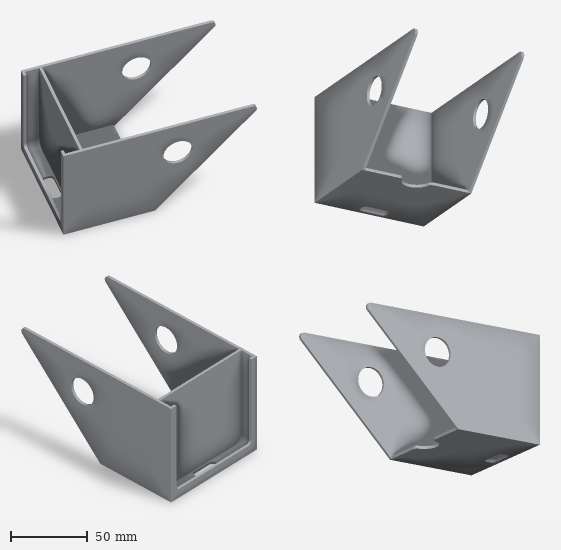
import cadquery as cq
import math

width = 81.6
length = 134.4
height = 75.0
wall = 2.0

tip_radius = 3.0
tip_angle = math.radians(45)
side_hole_diameter = 20.0
side_hole_y = 79.5
side_hole_drop = 25.0

divider_back = 14.0
divider_front = divider_back - wall
lip_overhang = 3.1
lip_opening_bottom = 7.0
pocket_corner_radius = 5.9

slot_length = 20.0
slot_width = 8.0
slot_corner_radius = 3.0
notch_radius = 10.01
notch_edge_radius = 3.0

inner_width = width - 2 * wall
tip_corner_y = length - tip_radius + tip_radius / math.tan(tip_angle / 2)
floor_length = tip_corner_y - height / math.tan(tip_angle)
slot_y = (wall + divider_front) / 2


def block(size_x, y_start, y_end, z_start, z_end):
    """Box centred on X between the given Y and Z limits."""
    return cq.Workplane("XY").box(
        size_x, y_end - y_start, z_end - z_start, centered=(True, False, False)
    ).translate((0, y_start, z_start))


def side_plate(x_start):
    """Side plate, tapered at the rear and pierced by a round hole."""
    plate = (
        cq.Workplane("YZ", origin=(x_start, 0, 0))
        .polyline([(0, 0), (floor_length, 0), (tip_corner_y, height), (0, height)])
        .close()
        .extrude(wall)
        .edges("|X and >Y")
        .fillet(tip_radius)
    )
    hole = (
        cq.Workplane("YZ", origin=(x_start, 0, 0))
        .center(side_hole_y, height - side_hole_drop)
        .circle(side_hole_diameter / 2)
        .extrude(wall)
    )
    return plate.cut(hole)


def floor_plate():
    """Floor with a round finger notch in its rear edge."""
    plate = block(inner_width, 0, floor_length, 0, wall)
    notch = cq.Workplane("XY").center(0, floor_length).circle(notch_radius).extrude(wall)
    notch_corners = cq.selectors.BoxSelector(
        (-notch_radius - wall, floor_length - wall, -wall),
        (notch_radius + wall, floor_length + wall, 2 * wall),
    )
    return plate.cut(notch).edges("|Z").edges(notch_corners).fillet(notch_edge_radius)


def rounded_cutter(size_x, y_start, y_end, z_start, radius):
    """Cutter open at the top with its two lower corners rounded."""
    return block(size_x, y_start, y_end, z_start, height).edges("|Y and <Z").fillet(radius)


def front_pocket():
    """Divider, pocket and retaining lip."""
    body = block(inner_width, 0, divider_back, 0, height)
    cavity = rounded_cutter(inner_width, wall, divider_front, wall, pocket_corner_radius)
    opening = rounded_cutter(
        inner_width - 2 * lip_overhang, 0, wall, lip_opening_bottom, pocket_corner_radius - lip_overhang
    )
    return body.cut(cavity).cut(opening)


def floor_slot():
    """Rounded slot through the bottom of the pocket."""
    y_start = slot_y - slot_width / 2
    slot = block(slot_length, y_start, y_start + slot_width, 0, wall)
    return slot.edges("|Z").fillet(slot_corner_radius)


result = floor_plate().union(front_pocket())
for plate_x in (-width / 2, width / 2 - wall):
    result = result.union(side_plate(plate_x))
result = result.cut(floor_slot())